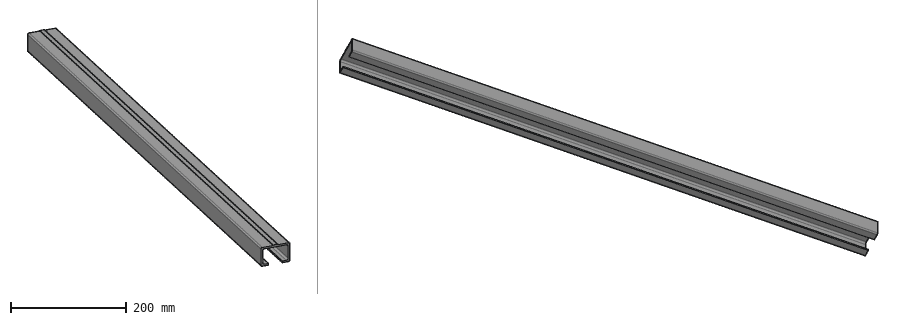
import cadquery as cq

length = 1000.0
width = 55.0
height = 37.0

wall = 3.4
outer_radius = 2.5
inner_radius = 3.5
slot_width = 26.0

rib_width = 9.0
rib_height = 1.0

roof_height = height - rib_height
rail_bottom = -height / 2
roof_top = rail_bottom + roof_height


def bar(bar_width, bar_height, bottom):
    """Rectangular bar along the full rail length, centred on X and Y."""
    return (
        cq.Workplane("XY", origin=(0, 0, bottom))
        .box(length, bar_width, bar_height, centered=(True, True, False))
    )


def channel():
    """Hollow rounded box section, opened by a slot along its underside."""
    outside = bar(width, roof_height, rail_bottom).edges("|X").fillet(outer_radius)
    cavity_bottom = rail_bottom + wall
    cavity = bar(width - 2 * wall, roof_height - 2 * wall, cavity_bottom)
    cavity = cavity.edges("|X").fillet(inner_radius)
    slot = bar(slot_width, roof_height / 2, rail_bottom)
    return outside.cut(cavity).cut(slot)


def roof_rib():
    """Raised strip on the roof, embedded in the sheet."""
    return bar(rib_width, rib_height + wall / 2, roof_top - wall / 2)


result = channel().union(roof_rib())